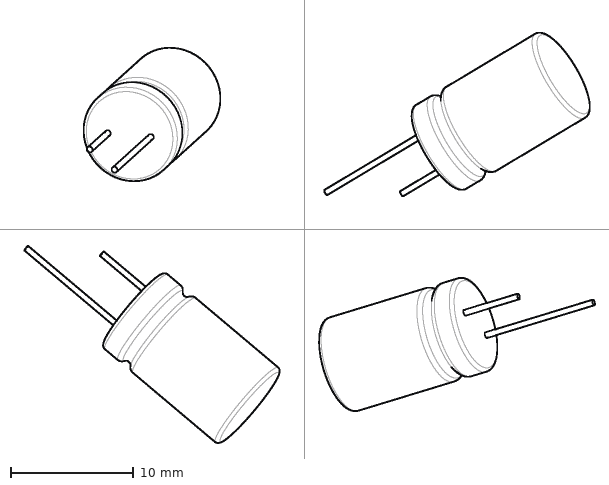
import cadquery as cq
import math

total_length = 22.5
can_diameter = 8.0
long_lead_length = 10.0
short_lead_length = long_lead_length / 2
can_length = total_length - long_lead_length
end_round = 0.3

groove_center = 2.5
groove_half_width = 0.8
groove_depth = 0.47

lead_diameter = 0.5
lead_pitch = 3.7

can_radius = can_diameter / 2


def make_can():
    """Revolve the half profile of the can about the Y axis."""
    end_radius = can_radius - end_round
    groove_start = groove_center - groove_half_width
    groove_end = groove_center + groove_half_width

    arc_width = groove_half_width / 2
    arc_depth = groove_depth / 2
    arc_radius = (arc_width**2 + arc_depth**2) / (2 * arc_depth)
    arc_angle = math.asin(arc_width / arc_radius)
    floor_radius = can_radius - groove_depth
    middle_radius = can_radius - arc_depth

    mid_width = arc_radius * math.sin(arc_angle / 2)
    mid_depth = arc_radius * (1 - math.cos(arc_angle / 2))

    round_inset = end_round * (1 - math.sqrt(0.5))
    round_mid_radius = can_radius - round_inset

    profile = (
        cq.Workplane("YZ")
        .moveTo(0, 0)
        .lineTo(0, end_radius)
        .threePointArc((round_inset, round_mid_radius), (end_round, can_radius))
        .lineTo(groove_start, can_radius)
        .threePointArc(
            (groove_start + mid_width, can_radius - mid_depth),
            (groove_start + arc_width, middle_radius),
        )
        .threePointArc(
            (groove_center - mid_width, floor_radius + mid_depth),
            (groove_center, floor_radius),
        )
        .threePointArc(
            (groove_center + mid_width, floor_radius + mid_depth),
            (groove_center + arc_width, middle_radius),
        )
        .threePointArc(
            (groove_end - mid_width, can_radius - mid_depth),
            (groove_end, can_radius),
        )
        .lineTo(can_length - end_round, can_radius)
        .threePointArc(
            (can_length - round_inset, round_mid_radius),
            (can_length, end_radius),
        )
        .lineTo(can_length, 0)
        .close()
    )
    return profile.revolve(360, (0, 0), (1, 0))


def make_lead(x_position, length):
    """Straight round wire running from the base toward -Y."""
    return (
        cq.Workplane("XZ")
        .center(x_position, 0)
        .circle(lead_diameter / 2)
        .extrude(length)
    )


result = (
    make_can()
    .union(make_lead(-lead_pitch / 2, short_lead_length))
    .union(make_lead(lead_pitch / 2, long_lead_length))
)